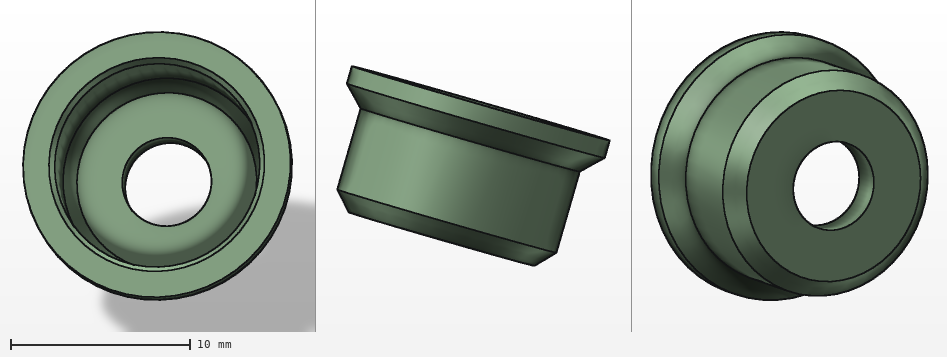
import cadquery as cq
import math

flange_radius = 15.0 / 2
body_radius = 12.75 / 2
bore_radius = 11.5 / 2
hole_radius = 5.0 / 2

overall_length = 7.88
flange_thickness = 1.0
bore_depth = 6.0

rim_chamfer = 0.3
floor_chamfer = 0.71
end_chamfer_radial = 0.97
end_chamfer_axial = 1.05

turn = math.radians(40.9)
rise = math.radians(40)
axis = (
    math.cos(rise) * math.cos(turn),
    -math.cos(rise) * math.sin(turn),
    math.sin(rise),
)

cone_end = flange_thickness + flange_radius - body_radius

half_section = [
    (bore_radius + rim_chamfer, 0),
    (flange_radius, 0),
    (flange_radius, -flange_thickness),
    (body_radius, -cone_end),
    (body_radius, end_chamfer_axial - overall_length),
    (body_radius - end_chamfer_radial, -overall_length),
    (hole_radius, -overall_length),
    (hole_radius, -bore_depth),
    (bore_radius - floor_chamfer, -bore_depth),
    (bore_radius, floor_chamfer - bore_depth),
    (bore_radius, -rim_chamfer),
]

radial = (math.sin(turn), math.cos(turn), 0)
normal = cq.Vector(*radial).cross(cq.Vector(*axis))
section_plane = cq.Plane(origin=(0, 0, 0), xDir=radial, normal=normal.toTuple())

result = (
    cq.Workplane(section_plane)
    .polyline(half_section)
    .close()
    .revolve(360, (0, 0, 0), (0, 1, 0))
)